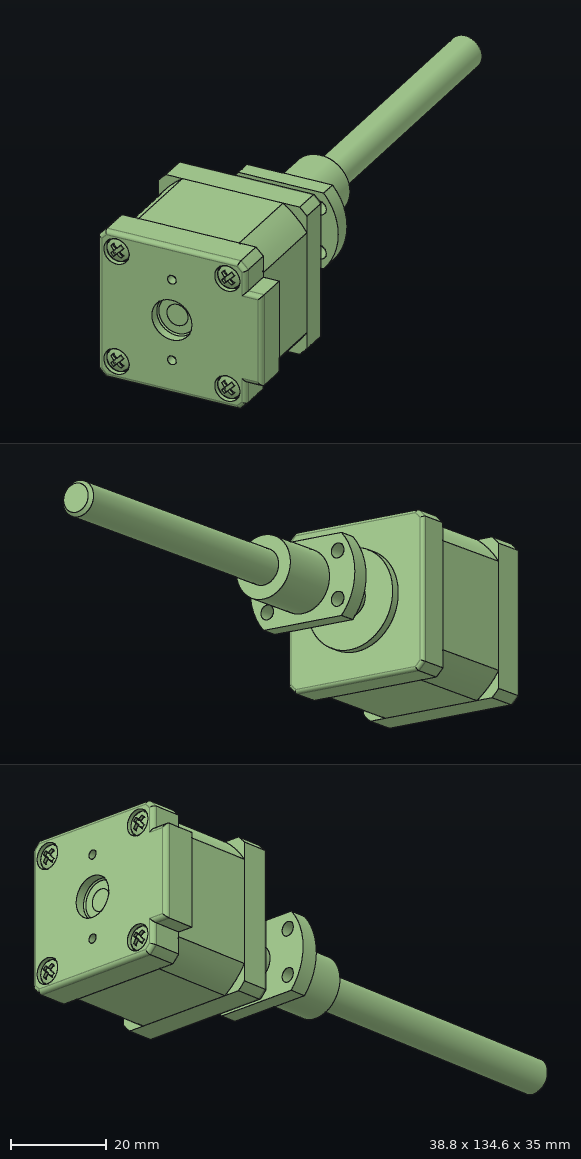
import cadquery as cq
import math

REAR_CAP_LENGTH = 7.8
STATOR_LENGTH = 19.9
FRONT_CAP_LENGTH = 7.0
BOSS_HEIGHT = 2.0
STATOR_START = REAR_CAP_LENGTH
FRONT_CAP_START = STATOR_START + STATOR_LENGTH
FRONT_FACE = FRONT_CAP_START + FRONT_CAP_LENGTH
BOSS_FACE = FRONT_FACE + BOSS_HEIGHT
SCREW_TIP = 134.6

MOTOR_WIDTH = 35.0
CAP_CORNER_RADIUS = 23.5
STATOR_CORNER_RADIUS = 21.1
FRONT_FILLET = 0.8
REAR_FILLET = 1.0
BOSS_DIAMETER = 22.1

TAB_PROJECTION = 3.8
TAB_WIDTH = 21.5

REAR_RECESS_DIAMETER = 9.4
REAR_RECESS_DEPTH = 2.5
REAR_RECESS_CHAMFER = 0.34
PILOT_HOLE_DIAMETER = 2.0
PILOT_HOLE_DEPTH = 2.7
PILOT_TIP_LENGTH = 0.5
PILOT_HOLE_OFFSET = 9.5

SCREW_OFFSET = 13.0
HEAD_POCKET_DIAMETER = 5.9
HEAD_DIAMETER = 5.4
HEAD_POCKET_DEPTH = 1.3
HEAD_RIM_HEIGHT = 0.5
DOME_HEIGHT = 0.7
SHANK_DIAMETER = 3.0
CROSS_LENGTH = 3.4
CROSS_WIDTH = 1.0
CROSS_DEPTH = 1.0

SHAFT_DIAMETER = 8.0
JOURNAL_DIAMETER = 5.0
SHAFT_TIP_CHAMFER = 0.8
NUT_START = 49.7
NUT_FLANGE_THICKNESS = 4.0
NUT_FLANGE_DIAMETER = 27.0
NUT_FLANGE_HEIGHT = 18.0
NUT_DIAMETER = 14.0
NUT_END = 67.7
NUT_HOLE_DIAMETER = 3.2
NUT_HOLE_CIRCLE_RADIUS = 10.5
NUT_HOLE_ANGLES = [30, 150, 210, 330]

SCREW_POSITIONS = [
    (x_side * SCREW_OFFSET, z_side * SCREW_OFFSET)
    for x_side in (-1, 1)
    for z_side in (-1, 1)
]


def section_plane(y):
    """Plane across the motor axis at station y, with local axes X and Z; extrude negative for +Y."""
    return cq.Workplane("XZ", origin=(0, y, 0))


def cylinder(diameter, start, end, x=0, z=0):
    """Round bar along Y from one station to another."""
    return section_plane(start).center(x, z).circle(diameter / 2).extrude(start - end)


def cone(start_diameter, end_diameter, start, end, x=0, z=0):
    """Tapered round bar along Y from one station to another."""
    return cq.Workplane(
        cq.Solid.makeCone(
            start_diameter / 2, end_diameter / 2, end - start, cq.Vector(x, start, z), cq.Vector(0, 1, 0)
        )
    )


def motor_block(corner_radius, start, end):
    """Square block with its corners cut back to a cylinder about the motor axis."""
    block = section_plane(start).rect(MOTOR_WIDTH, MOTOR_WIDTH).extrude(start - end)
    return block.intersect(cylinder(2 * corner_radius, start, end))


def build_front_cap():
    cap = motor_block(CAP_CORNER_RADIUS, FRONT_CAP_START, FRONT_FACE)
    cap = cap.faces(">Y").edges().fillet(FRONT_FILLET)
    cap = cap.union(cylinder(BOSS_DIAMETER, FRONT_FACE, BOSS_FACE))
    return cap.cut(cylinder(SHAFT_DIAMETER, FRONT_CAP_START, BOSS_FACE))


def build_stator():
    stator = motor_block(STATOR_CORNER_RADIUS, STATOR_START, FRONT_CAP_START)
    return stator.cut(cylinder(SHAFT_DIAMETER, STATOR_START, FRONT_CAP_START))


def build_rear_cap():
    cap = motor_block(CAP_CORNER_RADIUS, 0, REAR_CAP_LENGTH)
    tab_length = MOTOR_WIDTH / 2 + TAB_PROJECTION
    tab = section_plane(0).center(tab_length / 2, 0).rect(tab_length, TAB_WIDTH).extrude(-REAR_CAP_LENGTH)
    cap = cap.union(tab)
    cap = cap.faces("<Y").edges().fillet(REAR_FILLET)

    recess = cylinder(REAR_RECESS_DIAMETER, 0, REAR_RECESS_DEPTH)
    cap = cap.cut(recess.faces(">Y").edges().chamfer(REAR_RECESS_CHAMFER))
    cap = cap.cut(cylinder(JOURNAL_DIAMETER, REAR_RECESS_DEPTH, REAR_CAP_LENGTH))
    for side in (-1, 1):
        z = side * PILOT_HOLE_OFFSET
        tip = PILOT_HOLE_DEPTH + PILOT_TIP_LENGTH
        cap = cap.cut(cylinder(PILOT_HOLE_DIAMETER, 0, PILOT_HOLE_DEPTH, 0, z))
        cap = cap.cut(cone(PILOT_HOLE_DIAMETER, 0, PILOT_HOLE_DEPTH, tip, 0, z))
    for x, z in SCREW_POSITIONS:
        cap = cap.cut(cylinder(HEAD_POCKET_DIAMETER, 0, HEAD_POCKET_DEPTH, x, z))
        cap = cap.cut(cylinder(SHANK_DIAMETER, HEAD_POCKET_DEPTH, REAR_CAP_LENGTH, x, z))
    return cap


def build_screw(x, z):
    """Round-headed screw with a cross recess, seated in its pocket in the rear cap."""
    dome_top = HEAD_POCKET_DEPTH - HEAD_RIM_HEIGHT - DOME_HEIGHT
    dome_radius = ((HEAD_DIAMETER / 2) ** 2 + DOME_HEIGHT**2) / (2 * DOME_HEIGHT)
    sphere = cq.Workplane("XY", origin=(x, dome_top + dome_radius, z)).sphere(dome_radius)
    head = cylinder(HEAD_DIAMETER, dome_top, HEAD_POCKET_DEPTH, x, z).intersect(sphere)
    for angle in (45, 135):
        slot = section_plane(dome_top).center(x, z).transformed(rotate=(0, 0, angle))
        head = head.cut(slot.rect(CROSS_LENGTH, CROSS_WIDTH).extrude(-CROSS_DEPTH))
    return head.union(cylinder(SHANK_DIAMETER, HEAD_POCKET_DEPTH, REAR_CAP_LENGTH, x, z))


def build_lead_screw():
    """Shaft with a thinner rear journal and a flanged nut partway along it."""
    shaft = cylinder(SHAFT_DIAMETER, STATOR_START, SCREW_TIP)
    shaft = shaft.faces(">Y").edges().chamfer(SHAFT_TIP_CHAMFER)
    journal = cylinder(JOURNAL_DIAMETER, REAR_RECESS_DEPTH, STATOR_START)

    flange_end = NUT_START + NUT_FLANGE_THICKNESS
    flange = cylinder(NUT_FLANGE_DIAMETER, NUT_START, flange_end)
    flange = flange.intersect(
        section_plane(NUT_START).rect(NUT_FLANGE_DIAMETER, NUT_FLANGE_HEIGHT).extrude(-NUT_FLANGE_THICKNESS)
    )
    for angle in NUT_HOLE_ANGLES:
        x = NUT_HOLE_CIRCLE_RADIUS * math.cos(math.radians(angle))
        z = NUT_HOLE_CIRCLE_RADIUS * math.sin(math.radians(angle))
        flange = flange.cut(cylinder(NUT_HOLE_DIAMETER, NUT_START, flange_end, x, z))
    sleeve = cylinder(NUT_DIAMETER, flange_end, NUT_END)
    return shaft.union(journal).union(flange).union(sleeve)


front_cap = build_front_cap()
stator = build_stator()
rear_cap = build_rear_cap()
screws = [build_screw(x, z) for x, z in SCREW_POSITIONS]
lead_screw = build_lead_screw()

result = cq.Compound.makeCompound(
    [front_cap.val(), stator.val(), rear_cap.val(), lead_screw.val()] + [screw.val() for screw in screws]
)